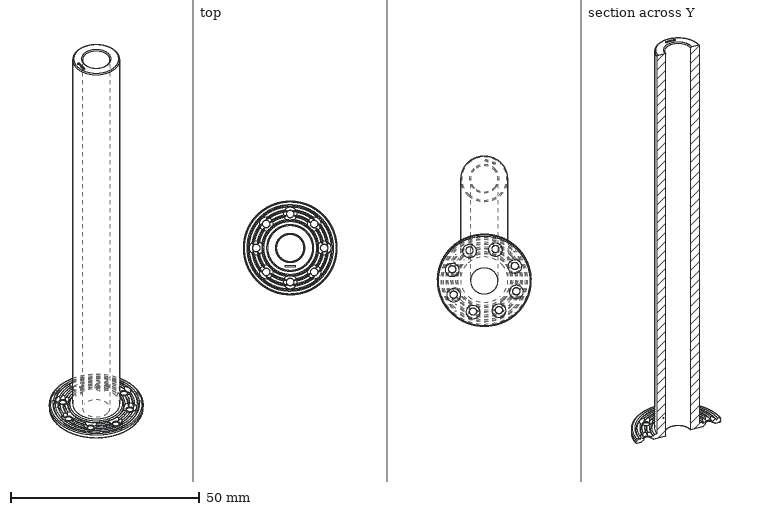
import cadquery as cq

flange_diameter = 25.0
flange_thickness = 1.6
flange_edge_chamfer = 0.3

total_height = 121.9
tube_diameter = flange_diameter / 2
bore_diameter = 7.2
tube_rim_chamfer = 0.3

groove_count = 4
first_groove_radius = 7.3
last_groove_radius = 11.2
groove_pitch = (last_groove_radius - first_groove_radius) / (groove_count - 1)
groove_width = 0.6
groove_depth = 0.5

bolt_hole_count = 8
bolt_hole_diameter = 2.0
bolt_circle_diameter = 18.0
countersink_diameter = 3.7
countersink_depth = 0.6

mark_length = 2.8
mark_width = 0.4
mark_depth = 0.4
mark_y = -4.9


def make_flange():
    """Plain disc on Z=0 with both rim edges chamfered."""
    return (
        cq.Workplane("XY")
        .circle(flange_diameter / 2)
        .extrude(flange_thickness)
        .edges()
        .chamfer(flange_edge_chamfer)
    )


def make_tube():
    """Hollow tube standing on Z=0, with both edges of its top end chamfered."""
    return (
        cq.Workplane("XY")
        .circle(tube_diameter / 2)
        .circle(bore_diameter / 2)
        .extrude(total_height)
        .faces(">Z")
        .edges()
        .chamfer(tube_rim_chamfer)
    )


def make_groove(radius):
    """Ring with a triangular section, point down, flush with the flange face."""
    half_width = groove_width / 2
    return (
        cq.Workplane("XZ")
        .moveTo(radius - half_width, flange_thickness)
        .lineTo(radius, flange_thickness - groove_depth)
        .lineTo(radius + half_width, flange_thickness)
        .close()
        .revolve(360, (0, 0, 0), (0, 1, 0))
    )


def make_bolt_hole():
    """Cutter for one bolt hole, on the Z axis, countersunk at both faces of the flange."""
    hole_radius = bolt_hole_diameter / 2
    sink_radius = countersink_diameter / 2
    return (
        cq.Workplane("XZ")
        .lineTo(sink_radius, 0)
        .lineTo(hole_radius, countersink_depth)
        .lineTo(hole_radius, flange_thickness - countersink_depth)
        .lineTo(sink_radius, flange_thickness)
        .lineTo(0, flange_thickness)
        .close()
        .revolve(360, (0, 0, 0), (0, 1, 0))
    )


def cut_bolt_holes(body):
    """Cut the ring of bolt holes, the first one on the +X axis."""
    cutter = make_bolt_hole().val()
    return body.cut(
        cq.Workplane("XY")
        .polarArray(bolt_circle_diameter / 2, 0, 360, bolt_hole_count)
        .eachpoint(lambda place: cutter.moved(place))
    )


def make_mark():
    """Cutter for the short straight slot on the -Y side of the tube end."""
    return (
        cq.Workplane("XY", origin=(0, mark_y, total_height))
        .rect(mark_length, mark_width)
        .extrude(-mark_depth)
    )


flange = make_flange()
for groove_index in range(groove_count):
    flange = flange.cut(make_groove(first_groove_radius + groove_index * groove_pitch))
flange = cut_bolt_holes(flange)

bore = cq.Workplane("XY").circle(bore_diameter / 2).extrude(flange_thickness)
result = flange.cut(bore).union(make_tube()).cut(make_mark())